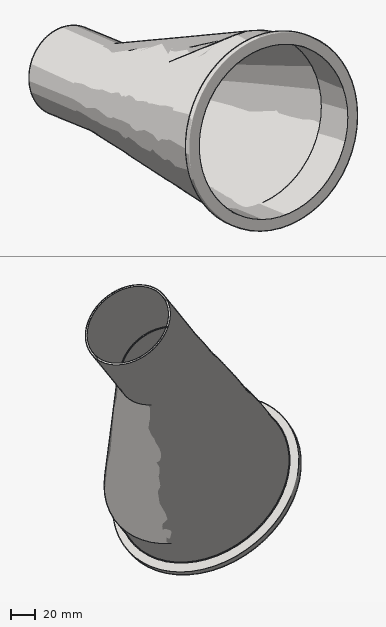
import cadquery as cq
import math

small_diameter = 76.2
small_bore = 72.9
large_diameter = 152.4
large_bore = 146.86
flange_diameter = 166.88

small_tube_length = 63.5
taper_length = 139.7
ferrule_length = 38.1

flange_thickness = 5.6
flange_back_angle = 20.0
neck_fillet = 0.8
rim_fillet = 0.5

taper_start = small_tube_length
taper_end = taper_start + taper_length
end_face = taper_end + ferrule_length

taper_wall = (large_diameter - large_bore) / 2
taper_small_bore = small_diameter - 2 * taper_wall

small_axis_y = (small_diameter - large_diameter) / 2


def tube_core(small_end, taper_small_end, large_end):
    """Solid without a bore: a small cylinder, an oblique taper and a large cylinder."""
    small = cq.Workplane("YZ").center(small_axis_y, 0).circle(small_end / 2).extrude(taper_start)
    taper = (
        cq.Workplane("YZ", origin=(taper_start, 0, 0))
        .center(small_axis_y, 0)
        .circle(taper_small_end / 2)
        .workplane(offset=taper_length)
        .center(-small_axis_y, 0)
        .circle(large_end / 2)
        .loft(ruled=True)
    )
    large = cq.Workplane("YZ", origin=(taper_end, 0, 0)).circle(large_end / 2).extrude(ferrule_length)
    return small.union(taper).union(large)


def flange():
    """Clamp flange with a leaning back face, blended into the large tube."""
    tube_radius = large_diameter / 2
    rim_radius = flange_diameter / 2
    rim_start = end_face - flange_thickness
    lean = math.radians(flange_back_angle)
    back_foot = rim_start - (rim_radius - tube_radius) * math.tan(lean)

    tangent_length = neck_fillet * math.tan((math.pi / 2 - lean) / 2)
    fillet_start = (back_foot - tangent_length, tube_radius)
    fillet_end = (
        back_foot + tangent_length * math.sin(lean),
        tube_radius + tangent_length * math.cos(lean),
    )
    profile = (
        cq.Workplane("XY")
        .moveTo(fillet_start[0], 0)
        .lineTo(*fillet_start)
        .tangentArcPoint(fillet_end, relative=False)
        .lineTo(rim_start, rim_radius)
        .lineTo(end_face, rim_radius)
        .lineTo(end_face, 0)
        .close()
    )
    disc = profile.revolve(360, (0, 0, 0), (1, 0, 0))
    rim_edges = cq.selectors.RadiusNthSelector(-1)
    return disc.edges(rim_edges).fillet(rim_fillet)


outside = tube_core(small_diameter, small_diameter, large_diameter).union(flange())
inside = tube_core(small_bore, taper_small_bore, large_bore)
result = outside.cut(inside)